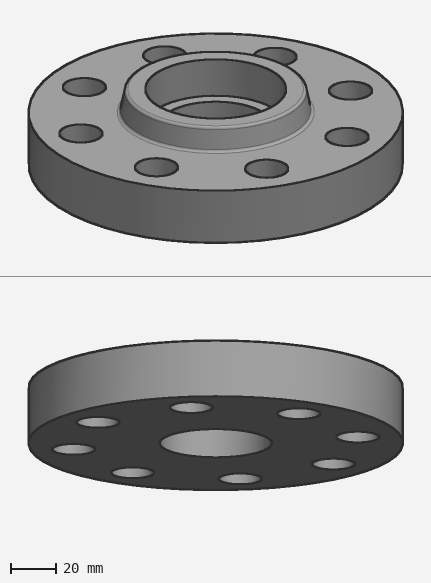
import cadquery as cq

flange_diameter = 165.0
flange_thickness = 25.5

total_height = 36.6
hub_base_diameter = 84.5
hub_top_diameter = 79.9
hub_edge_radius = 1.5

bore_diameter = 49.5
socket_diameter = 62.0
socket_depth = 17.7

bolt_count = 8
bolt_hole_diameter = 19.0
bolt_circle_diameter = 127.1


def make_body():
    """Revolve the solid profile of plate and hub, then round the hub edges."""
    flange_radius = flange_diameter / 2
    hub_base_radius = hub_base_diameter / 2
    hub_top_radius = hub_top_diameter / 2
    profile = (
        cq.Workplane("XZ")
        .lineTo(flange_radius, 0)
        .lineTo(flange_radius, flange_thickness)
        .lineTo(hub_base_radius, flange_thickness)
        .lineTo(hub_top_radius, total_height)
        .lineTo(0, total_height)
        .close()
    )
    body = profile.revolve(360, (0, 0, 0), (0, 1, 0))
    return body.faces("%CONE").edges("%CIRCLE").fillet(hub_edge_radius)


def make_stepped_bore():
    """Through bore joined with the wider socket that opens at the hub face."""
    bore = cq.Workplane("XY").circle(bore_diameter / 2).extrude(total_height)
    socket = (
        cq.Workplane("XY")
        .workplane(offset=total_height - socket_depth)
        .circle(socket_diameter / 2)
        .extrude(socket_depth)
    )
    return bore.union(socket)


def make_bolt_holes():
    """Evenly spaced pins through the plate, the first one on the +X axis."""
    return (
        cq.Workplane("XY")
        .polarArray(bolt_circle_diameter / 2, 0, 360, bolt_count)
        .circle(bolt_hole_diameter / 2)
        .extrude(flange_thickness)
    )


result = make_body().cut(make_stepped_bore()).cut(make_bolt_holes())